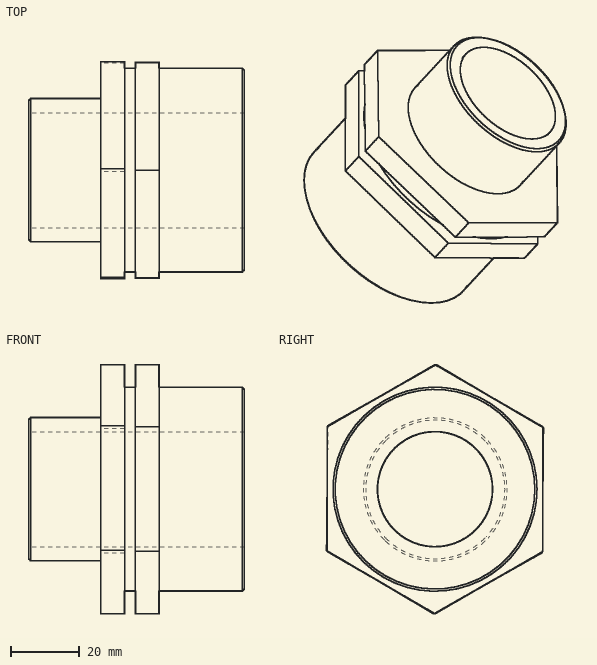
import cadquery as cq

total_length = 63.0
spigot_diameter = 41.9
body_diameter = 59.6
bore_diameter = 33.55
end_chamfer = 0.65

hex_corner_diameter = 72.75
hex_thickness = 7.0
hex_gap = 3.1
spigot_length = 21.0
flange_twist = 0.6

spigot_end = -total_length / 2
flange_start = spigot_end + spigot_length
nut_start = flange_start + hex_thickness + hex_gap
body_length = total_length - spigot_length


def cylinder(start, length, diameter):
    return cq.Workplane("YZ", origin=(start, 0, 0)).circle(diameter / 2).extrude(length)


def hexagon(start, twist):
    """Hexagonal plate with a corner pointing up, turned about X by twist."""
    plate = (
        cq.Workplane("YZ", origin=(start, 0, 0))
        .polygon(6, hex_corner_diameter)
        .extrude(hex_thickness)
    )
    return plate.rotate((0, 0, 0), (1, 0, 0), 90 + twist)


spigot = cylinder(spigot_end, spigot_length, spigot_diameter).faces("<X").chamfer(end_chamfer)
body = cylinder(flange_start, body_length, body_diameter).faces(">X").chamfer(end_chamfer)

flange = hexagon(flange_start, -flange_twist)
nut = hexagon(nut_start, 0)

bore = cylinder(spigot_end, total_length, bore_diameter)
result = spigot.union(body).union(flange).union(nut).cut(bore)